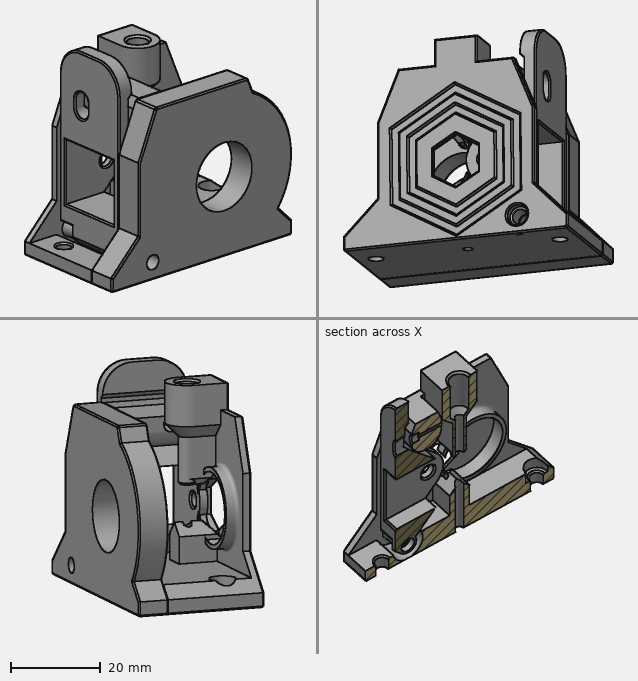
import cadquery as cq
import math

length = 53.0
width = 29.95
mid_y = length / 2
edge_chamfer = 0.35

foot_height = 3.4
foot_run = 8.0
waist_z = foot_height + foot_run
shoulder_z = 29.0
shoulder_top_z = 40.95
shoulder_top_y = 12.95
cover_bevel = 0.35
tab_top_z = 47.0
tab_width = 9.95

plate_thickness = 1.95
seam_x = 22.95
rear_floor_z = 6.3
seam_chamfer = 0.2

pivot_y = 12.0
pivot_z = 4.25
screw_diameter = 3.5
screw_mouth_diameter = 4.3
pivot_head_diameter = 4.7
pivot_boss_radius = 2.2
pivot_boss_end_x = 6.1
cove_radius = 4.15

mount_x = 8.1
mount_inset_y = 4.75
rear_spotface_diameter = 6.0

hex_z = 18.6
hex_twist = 0.6
hex_opening_radius = 6.15
hex_opening_z = 18.45
hex_groove_depth = 0.4
hex_grooves = [(17.9, 15.65), (13.25, 11.05)]

bar_radius = 4.25
bar_y = 17.25
bar_z = 35.2
bar_eave_z = 38.4
bar_top_width = 6.35
bar_counterbore_diameter = 4.2
bar_counterbore_depth = 2.1
lever_screw_x = 9.8
lever_screw_z = 36.5

filament_x = 8.05
filament_diameter = 2.2
tube_diameter = 5.0
tube_mouth_diameter = 6.0
tube_bottom_z = 36.6
taper_top_z = 37.65
nozzle_radius = 4.0 / 2
nozzle_tip_z = 23.75
nozzle_tip_chamfer = 0.55
nozzle_web_run = 0.95
nozzle_web_rise = 1.45
lower_guide_top_z = 15.25
lower_guide_half_width = 2.8
lower_guide_end_x = 11.05
guide_bevel_end_x = 4.5

motor_y = 33.0
motor_z = 19.2
motor_disc_radius = 20.05
motor_opening_radius = 8.15
ring_radius = 18.4 / 2
ring_bore_radius = 8.65
ring_lip_radius = 8.15
ring_floor_x = 0.95
ring_end_x = 4.8
boss_fillet = 0.85

lever_min_x = 2.45
lever_max_x = 22.55
lever_front_y = 8.45
lever_top_z = 49.25
lever_corner_radius = 6.95
lever_head_y = 12.2
lever_thin_y = 11.2
lever_head_z = 42.35
lever_head_bevel = 1.0
notch_x = 6.6
notch_z = 6.75
window_min_x = 4.35
window_max_x = 20.55
window_min_z = 11.2
window_max_z = 26.65
slot_width = 4.3
slot_travel = 2.0
idler_y = 18.5
idler_z = 18.8
cheek_radius = 6.35
cheek_clearance = 0.55
axle_y = 20.6


def side_sketch(points, start_x, end_x):
    """Extrude a closed (Y, Z) outline from start_x to end_x."""
    return cq.Workplane("YZ", origin=(start_x, 0, 0)).polyline(points).close().extrude(end_x - start_x)


def rod_x(y, z, radius, start_x, end_x):
    """Cylinder along X."""
    return cq.Workplane("YZ", origin=(start_x, y, z)).circle(radius).extrude(end_x - start_x)


def rod_y(x, z, radius, start_y, end_y):
    """Cylinder along Y."""
    return cq.Workplane("XZ", origin=(x, start_y, z)).circle(radius).extrude(start_y - end_y)


def rod_z(x, y, radius, start_z, end_z):
    """Cylinder along Z."""
    return cq.Workplane("XY", origin=(x, y, start_z)).circle(radius).extrude(end_z - start_z)


def cone_z(x, y, low_radius, high_radius, low_z, high_z):
    """Cone frustum along Z."""
    solid = cq.Solid.makeCone(low_radius, high_radius, high_z - low_z, cq.Vector(x, y, low_z))
    return cq.Workplane(solid)


def cone_x(y, z, start_radius, end_radius, start_x, end_x):
    """Cone frustum along X."""
    axis = cq.Vector(1, 0, 0)
    solid = cq.Solid.makeCone(start_radius, end_radius, end_x - start_x, cq.Vector(start_x, y, z), axis)
    return cq.Workplane(solid)


def side_outline(top_points):
    """(Y, Z) outline of a side from its feet up, closed by the rear half of its top."""
    half = [
        (length - edge_chamfer, 0),
        (length, edge_chamfer),
        (length, foot_height),
        (length - foot_run, waist_z),
        (length - foot_run, shoulder_z),
    ] + top_points
    return half + [(length - y, z) for y, z in reversed(half)]


def root_filleted_boss(y, z, radius, end_x):
    """Round boss on the plate's inner face, with a concave fillet at its root."""
    bend = boss_fillet * (1 - math.sqrt(0.5))
    return (
        cq.Workplane("XZ", origin=(plate_thickness, y, z))
        .moveTo(0, 0)
        .lineTo(0, radius + boss_fillet)
        .threePointArc((bend, radius + bend), (boss_fillet, radius))
        .lineTo(end_x - plate_thickness, radius)
        .lineTo(end_x - plate_thickness, 0)
        .close()
        .revolve(360, (0, 0, 0), (1, 0, 0))
    )


def hex_prism(radius, start_x, depth, taper, twist, z):
    """Tapered hexagonal prism along X with a corner at the top."""
    return (
        cq.Workplane("YZ", origin=(start_x, mid_y, z))
        .transformed(rotate=(0, 0, 90 - twist))
        .polygon(6, 2 * radius)
        .extrude(depth, taper=taper)
    )


def hex_groove(outer_radius, inner_radius):
    """Hexagonal groove with 45 degree walls in the plate's outer face."""
    recess = hex_prism(outer_radius, 0, hex_groove_depth, 45, hex_twist, hex_z)
    island = hex_prism(inner_radius, hex_groove_depth, -hex_groove_depth, 45, hex_twist, hex_z)
    return recess.cut(island)


def side_plate():
    """Chamfered plate with the guide's tab in its outline and the hexagonal grooves."""
    tab_y = mid_y + tab_width / 2
    top_points = [(length - shoulder_top_y, shoulder_top_z), (tab_y, shoulder_top_z), (tab_y, tab_top_z)]
    plate = side_sketch(side_outline(top_points), 0, plate_thickness).faces("<X").chamfer(edge_chamfer)
    for outer_radius, inner_radius in hex_grooves:
        plate = plate.cut(hex_groove(outer_radius, inner_radius))
    return plate


def base():
    """Floor between the plate and the cover, with a cove for the lever's barrel."""
    rear_step = rear_floor_z - foot_height
    outline = [
        (edge_chamfer, 0),
        (length - edge_chamfer, 0),
        (length, edge_chamfer),
        (length, foot_height),
        (length - rear_step, rear_floor_z),
        (pivot_y, rear_floor_z),
        (pivot_y, foot_height),
        (0, foot_height),
        (0, edge_chamfer),
    ]
    body = side_sketch(outline, plate_thickness, seam_x)
    return body.cut(rod_x(pivot_y, pivot_z, cove_radius, plate_thickness, seam_x))


def bar_screw_hole():
    """Through hole with a chamfered counterbore in the bar's front face."""
    front_y = bar_y - bar_radius
    bore_radius = bar_counterbore_diameter / 2
    hole = rod_y(lever_screw_x, lever_screw_z, screw_diameter / 2, front_y, bar_y + bar_radius)
    bore = rod_y(lever_screw_x, lever_screw_z, bore_radius, front_y, front_y + bar_counterbore_depth)
    mouth = cq.Solid.makeCone(
        bore_radius + edge_chamfer,
        bore_radius,
        edge_chamfer,
        cq.Vector(lever_screw_x, front_y, lever_screw_z),
        cq.Vector(0, 1, 0),
    )
    return hole.union(bore).union(cq.Workplane(mouth))


def screw_bar():
    """Cross bar with a half-round underside that takes the lever's screw."""
    bar = (
        cq.Workplane("YZ", origin=(plate_thickness, bar_y, bar_z))
        .moveTo(-bar_radius, 0)
        .threePointArc((0, -bar_radius), (bar_radius, 0))
        .lineTo(bar_radius, bar_eave_z - bar_z)
        .lineTo(bar_top_width / 2, shoulder_top_z - bar_z)
        .lineTo(-bar_top_width / 2, shoulder_top_z - bar_z)
        .lineTo(-bar_radius, bar_eave_z - bar_z)
        .close()
        .extrude(seam_x - plate_thickness)
    )
    return bar.cut(bar_screw_hole())


def upper_guide_outline(tip_run, tip_rise):
    """Right half of the guide's section as (offset, Z) points, wide tab above and nozzle below."""
    taper = tab_width / 2 - nozzle_radius
    return [
        (tab_width / 2, tab_top_z),
        (tab_width / 2, taper_top_z),
        (nozzle_radius, taper_top_z - taper),
        (nozzle_radius, nozzle_tip_z + tip_rise),
        (nozzle_radius - tip_run, nozzle_tip_z),
    ]


def guide_bevel(edge_z, direction):
    """Wedge that bevels a guide 45 degrees from edge_z, up (1) or down (-1), towards the plate."""
    size = guide_bevel_end_x - ring_floor_x
    return (
        cq.Workplane("XZ", origin=(0, mid_y + tab_width / 2, 0))
        .moveTo(guide_bevel_end_x, edge_z)
        .lineTo(ring_floor_x, edge_z)
        .lineTo(ring_floor_x, edge_z + direction * size)
        .close()
        .extrude(tab_width)
    )


def upper_guide():
    """Tab with a rounded end that narrows 45 degrees into a nozzle."""
    web_half = upper_guide_outline(nozzle_web_run, nozzle_web_rise)
    web_points = [(mid_y + d, z) for d, z in web_half] + [(mid_y - d, z) for d, z in reversed(web_half)]
    web = side_sketch(web_points, ring_floor_x, filament_x).cut(guide_bevel(nozzle_tip_z, 1))
    round_points = upper_guide_outline(nozzle_tip_chamfer, nozzle_tip_chamfer)
    round_points = [(0, tab_top_z)] + round_points + [(0, nozzle_tip_z)]
    round_end = (
        cq.Workplane("XZ", origin=(filament_x, mid_y, 0))
        .polyline(round_points)
        .close()
        .revolve(360, (0, 0, 0), (0, 1, 0))
    )
    return web.union(round_end)


def lower_guide():
    """Gabled block below the nozzle."""
    eave_z = lower_guide_top_z - lower_guide_half_width
    points = [
        (mid_y - lower_guide_half_width, rear_floor_z),
        (mid_y - lower_guide_half_width, eave_z),
        (mid_y, lower_guide_top_z),
        (mid_y + lower_guide_half_width, eave_z),
        (mid_y + lower_guide_half_width, rear_floor_z),
    ]
    block = side_sketch(points, ring_floor_x, lower_guide_end_x)
    return block.cut(guide_bevel(lower_guide_top_z, -1))


def motor_ring():
    """Ring around the motor axis, relieved where the lever's cheek swings in."""
    ring = root_filleted_boss(motor_y, motor_z, ring_radius, ring_end_x)
    relief_radius = cheek_radius + cheek_clearance
    return ring.cut(rod_x(idler_y, idler_z, relief_radius, plate_thickness, ring_end_x))


def motor_ring_bore():
    """Bore sunk into the plate behind the hexagonal opening, narrowing to a lip at the ring's end."""
    lip_x = ring_end_x - (ring_bore_radius - ring_lip_radius)
    bore = rod_x(motor_y, motor_z, ring_bore_radius, ring_floor_x, lip_x)
    return bore.union(cone_x(motor_y, motor_z, ring_bore_radius, ring_lip_radius, lip_x, ring_end_x))


def filament_path():
    """Tube socket in the tab, narrowing to the filament hole that runs down through the base."""
    tube_radius = tube_diameter / 2
    mouth_radius = tube_mouth_diameter / 2
    filament_radius = filament_diameter / 2
    cone_bottom_z = tube_bottom_z - (tube_radius - filament_radius)
    mouth_bottom_z = tab_top_z - (mouth_radius - tube_radius)
    path = rod_z(filament_x, mid_y, filament_radius, 0, tab_top_z)
    path = path.union(rod_z(filament_x, mid_y, tube_radius, tube_bottom_z, tab_top_z))
    path = path.union(cone_z(filament_x, mid_y, filament_radius, tube_radius, cone_bottom_z, tube_bottom_z))
    return path.union(cone_z(filament_x, mid_y, tube_radius, mouth_radius, mouth_bottom_z, tab_top_z))


def mount_hole(y):
    """Chamfered through hole whose mouth is at foot height."""
    mouth_depth = (screw_mouth_diameter - screw_diameter) / 2
    hole = rod_z(mount_x, y, screw_diameter / 2, 0, foot_height)
    mouth = cone_z(
        mount_x, y, screw_diameter / 2, screw_mouth_diameter / 2, foot_height - mouth_depth, foot_height
    )
    return hole.union(mouth)


def pivot_hole():
    """Screw hole along the pivot with a chamfered head recess in the plate."""
    head_radius = pivot_head_diameter / 2
    hole = rod_x(pivot_y, pivot_z, screw_diameter / 2, 0, pivot_boss_end_x)
    hole = hole.union(rod_x(pivot_y, pivot_z, head_radius, 0, plate_thickness))
    return hole.union(cone_x(pivot_y, pivot_z, head_radius + edge_chamfer, head_radius, 0, edge_chamfer))


def hex_opening():
    """Chamfered hexagonal opening through the plate and the root of the motor ring."""
    mouth = hex_prism(hex_opening_radius + edge_chamfer, 0, edge_chamfer, 45, 0, hex_opening_z)
    return mouth.union(hex_prism(hex_opening_radius, 0, plate_thickness + boss_fillet, 0, 0, hex_opening_z))


def make_housing():
    body = side_plate().union(motor_ring()).cut(motor_ring_bore()).cut(hex_opening())
    body = body.union(base()).union(screw_bar()).union(upper_guide()).union(lower_guide())
    pivot_boss = root_filleted_boss(pivot_y, pivot_z, pivot_boss_radius, pivot_boss_end_x)
    body = body.union(pivot_boss)
    rear_mount_y = length - mount_inset_y
    spotface = rod_z(mount_x, rear_mount_y, rear_spotface_diameter / 2, foot_height, rear_floor_z)
    body = body.cut(spotface)
    for y in (mount_inset_y, rear_mount_y):
        body = body.cut(mount_hole(y))
    return body.cut(filament_path()).cut(pivot_hole())


def seam_and_outer_chamfer(body):
    """Chamfer the rim at the seam lightly and the rim at the outer face fully."""
    return body.faces("<X").chamfer(seam_chamfer).faces(">X").chamfer(edge_chamfer)


def motor_disc():
    """Round end of the cover around the motor axis, trimmed so it stays within the feet."""
    disc = seam_and_outer_chamfer(rod_x(motor_y, motor_z, motor_disc_radius, seam_x, width))
    trim_z = foot_height / 2
    bottom_z = motor_z - motor_disc_radius
    trim = side_sketch([(0, bottom_z), (length, bottom_z), (length, trim_z), (0, trim_z)], seam_x, width)
    return disc.cut(trim)


def make_cover():
    bevel_run = cover_bevel * (shoulder_top_y - foot_run) / (shoulder_top_z - shoulder_z)
    top_points = [
        (length - shoulder_top_y + bevel_run, shoulder_top_z - cover_bevel),
        (length - shoulder_top_y - cover_bevel, shoulder_top_z),
    ]
    body = seam_and_outer_chamfer(side_sketch(side_outline(top_points), seam_x, width))
    body = body.union(motor_disc())
    body = body.cut(rod_x(motor_y, motor_z, motor_opening_radius, seam_x, width))
    return body.cut(rod_x(pivot_y, pivot_z, screw_diameter / 2, seam_x, width))


def lever_section():
    """(Y, Z) section: thin arm with a head, swelling around the idler, and a barrel at the pivot."""
    tangent = cheek_radius * math.sqrt(0.5)
    slope_y = idler_y + tangent
    slope_top_z = idler_z + tangent + slope_y - lever_thin_y
    barrel_radius = (pivot_y - lever_front_y) * math.sqrt(0.5)
    barrel_drop = barrel_radius * math.sqrt(0.5)
    lower_slope_y = pivot_z + slope_y - (idler_z - tangent)
    arm = (
        cq.Workplane("YZ", origin=(lever_min_x, 0, 0))
        .moveTo(lever_front_y, pivot_z)
        .lineTo(lever_front_y, lever_top_z)
        .lineTo(lever_head_y, lever_top_z)
        .lineTo(lever_head_y, lever_head_z)
        .lineTo(lever_thin_y, lever_head_z - lever_head_bevel)
        .lineTo(lever_thin_y, slope_top_z)
        .lineTo(slope_y, idler_z + tangent)
        .threePointArc((idler_y + cheek_radius, idler_z), (slope_y, idler_z - tangent))
        .lineTo(lower_slope_y, pivot_z)
        .lineTo(pivot_y - barrel_drop, pivot_z - barrel_drop)
        .close()
        .extrude(lever_max_x - lever_min_x)
    )
    return arm.union(rod_x(pivot_y, pivot_z, barrel_radius, lever_min_x, lever_max_x))


def lever_front_outline():
    """Front outline with rounded top, corner notch, window and screw slot, chamfered at the front."""
    depth = idler_y + cheek_radius - lever_front_y
    plane = cq.Workplane("XZ", origin=(0, lever_front_y, 0))
    outline = (
        plane.moveTo(lever_min_x, notch_z)
        .lineTo(notch_x, notch_z)
        .lineTo(notch_x, 0)
        .lineTo(lever_max_x, 0)
        .lineTo(lever_max_x, lever_top_z)
        .lineTo(lever_min_x, lever_top_z)
        .close()
        .extrude(-depth)
    )
    outline = outline.edges("|Y and >Z").fillet(lever_corner_radius)
    window = (
        plane.moveTo(window_min_x, window_min_z)
        .lineTo(window_max_x, window_min_z)
        .lineTo(window_max_x, window_max_z)
        .lineTo(window_min_x, window_max_z)
        .close()
        .extrude(-depth)
    )
    slot = (
        plane.center(lever_screw_x, lever_screw_z)
        .slot2D(slot_width + slot_travel, slot_width, 90)
        .extrude(-depth)
    )
    return outline.cut(window).cut(slot).faces("<Y").chamfer(edge_chamfer)


def axle_hole():
    """Idler axle hole through both cheeks, chamfered on the inner side of each cheek."""
    radius = screw_diameter / 2
    mouth_radius = screw_mouth_diameter / 2
    mouth_depth = mouth_radius - radius
    hole = rod_x(axle_y, idler_z, radius, lever_min_x, lever_max_x)
    left = cone_x(axle_y, idler_z, radius, mouth_radius, window_min_x - mouth_depth, window_min_x)
    right = cone_x(axle_y, idler_z, mouth_radius, radius, window_max_x, window_max_x + mouth_depth)
    return hole.union(left).union(right)


def make_lever():
    body = lever_section().intersect(lever_front_outline())
    return body.cut(axle_hole()).cut(rod_x(pivot_y, pivot_z, screw_diameter / 2, lever_min_x, lever_max_x))


housing = make_housing()
cover = make_cover()
lever = make_lever()

result = cq.Compound.makeCompound([housing.val(), cover.val(), lever.val()])